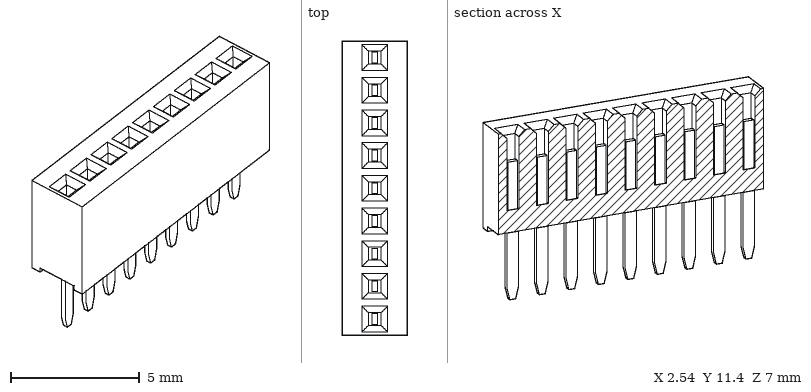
import cadquery as cq

pin_count = 9
pitch = 1.27
housing_width = 2 * pitch
housing_length = pin_count * pitch
housing_height = 4.4

channel_width = 1.7
channel_depth = 0.2

mouth_size = 1.0
well_size = 0.5
mouth_depth = (mouth_size - well_size) / 2
well_depth = 3.0

pin_thickness = 0.2
pin_width = 0.5
tip_width = pin_width / 2
tip_length = 0.5
tail_length = 2.6

contact_width = 0.42
contact_height = 2.0

well_floor = housing_height - mouth_depth - well_depth
pin_positions = [(i - (pin_count - 1) / 2) * pitch for i in range(pin_count)]


def make_housing():
    """Rectangular block resting on z = 0 with a channel running along Y underneath."""
    block = cq.Workplane("XY").box(housing_width, housing_length, housing_height, centered=(True, True, False))
    channel = cq.Workplane("XY").box(channel_width, housing_length, channel_depth, centered=(True, True, False))
    return block.cut(channel)


def make_socket(y):
    """Cutter for one socket: square funnel at the top and the well under it."""
    funnel = (
        cq.Workplane("XY", origin=(0, y, housing_height))
        .rect(mouth_size, mouth_size)
        .workplane(offset=-mouth_depth)
        .rect(well_size, well_size)
        .loft(ruled=True)
    )
    well = cq.Workplane("XY", origin=(0, y, well_floor)).rect(well_size, well_size).extrude(well_depth)
    return funnel.union(well)


def make_pin(y):
    """Flat blade from the tapered tip up to the well floor, with a narrower contact above it."""
    shoulder = tip_length - tail_length
    tail = (
        cq.Workplane("YZ", origin=(0, y, 0))
        .moveTo(-tip_width / 2, -tail_length)
        .lineTo(tip_width / 2, -tail_length)
        .lineTo(pin_width / 2, shoulder)
        .lineTo(pin_width / 2, well_floor)
        .lineTo(-pin_width / 2, well_floor)
        .lineTo(-pin_width / 2, shoulder)
        .close()
        .extrude(pin_thickness / 2, both=True)
    )
    contact = (
        cq.Workplane("XY", origin=(0, y, well_floor))
        .rect(pin_thickness, contact_width)
        .extrude(contact_height)
    )
    return tail.union(contact)


result = make_housing()
for pin_y in pin_positions:
    result = result.cut(make_socket(pin_y)).union(make_pin(pin_y))